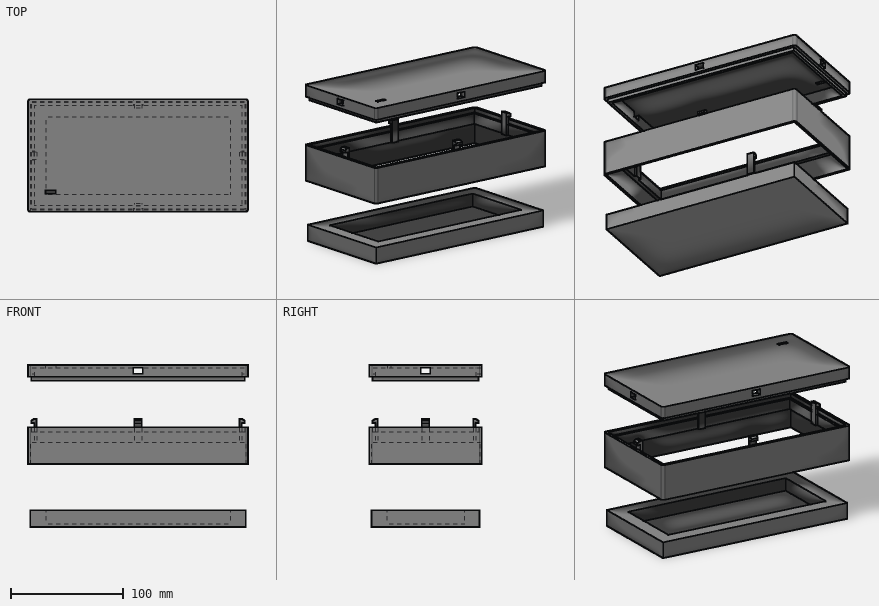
import cadquery as cq

LENGTH = 195.6
WIDTH = 100.2
CORNER_RADIUS = 2.3

BASE_INSET = 2.0
BASE_HEIGHT = 15.0
TRAY_WALL = 13.9
TRAY_FLOOR = 3.1

FRAME_BOTTOM = 56.0
FRAME_HEIGHT = 32.9
WALL = 5.7
SOCKET_DEPTH = 19.4
LIP_RECESS_DEPTH = 4.0

LID_TOP = 144.2
LID_HEIGHT = 10.8
CEILING = 2.7
LIP_INSET = 3.0
LIP_DEPTH = 3.5

HOOK_WIDTH = 6.8
LEG_THICKNESS = 2.2
HOOK_HEIGHT = 7.2
SHOULDER_HEIGHT = 3.5
NOSE_CHAMFER_RUN = 2.3
NOSE_CHAMFER_DROP = 1.5

WINDOW_WIDTH = 8.0
WINDOW_HEIGHT = 5.0

SLOT_LENGTH = 9.2
SLOT_WIDTH = 3.0
SLOT_FROM_LEFT = 20.1
SLOT_FROM_FRONT = 17.6

FRAME_TOP = FRAME_BOTTOM + FRAME_HEIGHT
LID_BOTTOM = LID_TOP - LID_HEIGHT


def block(inset, bottom, height):
    """Square-cornered block set in from the case footprint by `inset` on every side."""
    return (
        cq.Workplane("XY", origin=(0, 0, bottom))
        .rect(LENGTH - 2 * inset, WIDTH - 2 * inset)
        .extrude(height)
    )


def case_block(bottom, height):
    """Block over the full case footprint with rounded upright corners."""
    return block(0, bottom, height).edges("|Z").fillet(CORNER_RADIUS)


def make_base():
    tray = block(BASE_INSET, 0, BASE_HEIGHT)
    pocket = block(BASE_INSET + TRAY_WALL, TRAY_FLOOR, BASE_HEIGHT - TRAY_FLOOR)
    return tray.cut(pocket)


def make_hook(half_span):
    """Snap hook on the +X side of a wall whose outer face is at x = half_span."""
    leg_outer = half_span - WALL
    leg_inner = leg_outer - LEG_THICKNESS
    nose_tip = half_span - LIP_INSET
    leg_bottom = FRAME_BOTTOM + SOCKET_DEPTH
    shoulder = FRAME_TOP + SHOULDER_HEIGHT
    top = FRAME_TOP + HOOK_HEIGHT
    return (
        cq.Workplane("XZ", origin=(0, HOOK_WIDTH / 2, 0))
        .moveTo(leg_inner, leg_bottom)
        .lineTo(leg_outer, leg_bottom)
        .lineTo(leg_outer, shoulder)
        .lineTo(nose_tip, shoulder)
        .lineTo(nose_tip, top - NOSE_CHAMFER_DROP)
        .lineTo(nose_tip - NOSE_CHAMFER_RUN, top)
        .lineTo(leg_inner, top)
        .close()
        .extrude(HOOK_WIDTH)
    )


def make_frame():
    frame = case_block(FRAME_BOTTOM, FRAME_HEIGHT)
    frame = frame.cut(block(WALL, FRAME_BOTTOM, FRAME_HEIGHT))
    frame = frame.cut(block(BASE_INSET, FRAME_BOTTOM, SOCKET_DEPTH))
    frame = frame.cut(block(LIP_INSET, FRAME_TOP - LIP_RECESS_DEPTH, LIP_RECESS_DEPTH))
    for side in range(4):
        half_span = LENGTH / 2 if side % 2 == 0 else WIDTH / 2
        hook = make_hook(half_span).rotate((0, 0, 0), (0, 0, 1), 90 * side)
        frame = frame.union(hook)
    return frame


def make_lid():
    lid = case_block(LID_BOTTOM, LID_HEIGHT)
    lid = lid.union(block(LIP_INSET, LID_BOTTOM - LIP_DEPTH, LIP_DEPTH))
    cavity_height = LIP_DEPTH + LID_HEIGHT - CEILING
    lid = lid.cut(block(WALL, LID_BOTTOM - LIP_DEPTH, cavity_height))

    window_middle = LID_TOP - CEILING - WINDOW_HEIGHT / 2
    for cutter_x, cutter_y in ((LENGTH, WINDOW_WIDTH), (WINDOW_WIDTH, WIDTH)):
        cutter = cq.Workplane("XY").box(cutter_x, cutter_y, WINDOW_HEIGHT)
        lid = lid.cut(cutter.translate((0, 0, window_middle)))

    slot = (
        cq.Workplane("XY", origin=(0, 0, LID_TOP - CEILING))
        .center(SLOT_FROM_LEFT - LENGTH / 2, SLOT_FROM_FRONT - WIDTH / 2)
        .rect(SLOT_LENGTH, SLOT_WIDTH)
        .extrude(CEILING)
    )
    return lid.cut(slot)


base = make_base()
frame = make_frame()
lid = make_lid()

result = cq.Compound.makeCompound([base.val(), frame.val(), lid.val()])